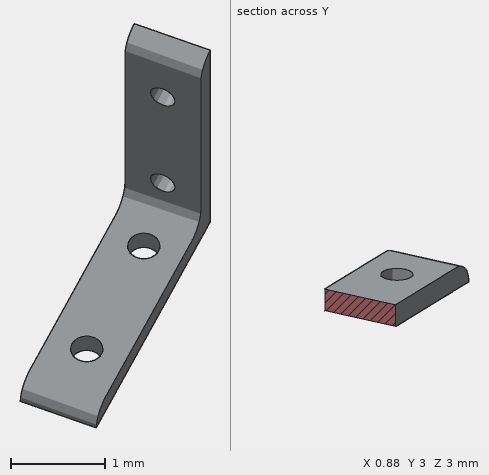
import cadquery as cq

width = 0.88
leg_length = 3.0
thickness = 0.25
inner_fillet = 0.25
wall_hole_diameter = 0.28
base_hole_diameter = 0.34
hole_distances = (leg_length / 4, leg_length * 3 / 4)

back_y = leg_length / 2
front_y = -leg_length / 2
wall_face_y = back_y - thickness
tip_start = leg_length - thickness


def make_angle():
    """L-shaped bracket with quarter-round leg tips and a filleted inner corner."""
    profile = (
        cq.Workplane("YZ")
        .moveTo(back_y, 0)
        .lineTo(front_y, 0)
        .radiusArc((front_y + thickness, thickness), thickness)
        .lineTo(wall_face_y - inner_fillet, thickness)
        .radiusArc((wall_face_y, thickness + inner_fillet), -inner_fillet)
        .lineTo(wall_face_y, tip_start)
        .radiusArc((back_y, leg_length), thickness)
        .close()
    )
    return profile.extrude(width / 2, both=True)


def wall_hole(distance):
    """Cylinder along Y that pierces the upright leg at a height above the corner."""
    return (
        cq.Workplane("XZ", origin=(0, back_y, distance))
        .circle(wall_hole_diameter / 2)
        .extrude(thickness)
    )


def base_hole(distance):
    """Cylinder along Z that pierces the flat leg at a distance from the corner."""
    return (
        cq.Workplane("XY", origin=(0, back_y - distance, 0))
        .circle(base_hole_diameter / 2)
        .extrude(thickness)
    )


result = make_angle()
for hole_distance in hole_distances:
    result = result.cut(wall_hole(hole_distance))
    result = result.cut(base_hole(hole_distance))